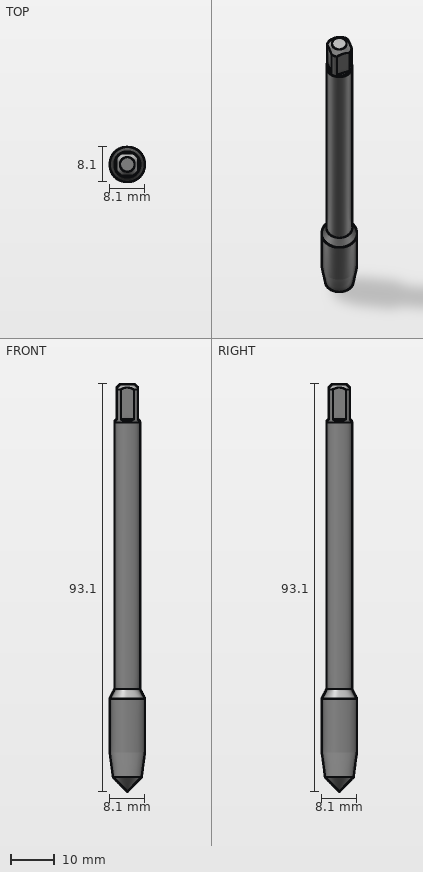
import cadquery as cq

TOTAL_LENGTH = 93.1
POINT_HEIGHT = 3.35
LEAD_TOP = 8.9
HEAD_TOP = 21.1
SHOULDER_BOTTOM = 21.3
SHOULDER_TOP = 23.1
SHANK_BOTTOM = 23.5
SHANK_TOP = 84.4
SQUARE_BOTTOM = 85.1

HEAD_DIAMETER = 8.1
LEAD_SMALL_DIAMETER = 6.6
SHOULDER_SMALL_DIAMETER = 6.2
SHANK_DIAMETER = 6.0
DRIVE_DIAMETER = 5.8
DRIVE_TIP_DIAMETER = 3.35

SQUARE_ACROSS_FLATS = 4.9
DRIVE_CHAMFER = (DRIVE_DIAMETER - DRIVE_TIP_DIAMETER) / 2


def revolve_profile(points):
    """Revolve a closed (radius, height) outline about the Z axis."""
    return cq.Workplane("XZ").polyline(points).close().revolve(360, (0, 0), (0, 1))


def make_cutting_head():
    """Cylindrical head with a tapered lead and a conical point."""
    return revolve_profile([
        (0, 0),
        (LEAD_SMALL_DIAMETER / 2, POINT_HEIGHT),
        (HEAD_DIAMETER / 2, LEAD_TOP),
        (HEAD_DIAMETER / 2, HEAD_TOP),
        (0, HEAD_TOP),
    ])


def square_drive_envelope():
    """Square prism whose base flares outward at 45 degrees, so each flat ends on a sloping run-out."""
    flare_height = SQUARE_BOTTOM - SHANK_TOP
    flare_width = SQUARE_ACROSS_FLATS + 2 * flare_height
    flare = (
        cq.Workplane("XY", origin=(0, 0, SHANK_TOP))
        .rect(flare_width, flare_width)
        .workplane(offset=flare_height)
        .rect(SQUARE_ACROSS_FLATS, SQUARE_ACROSS_FLATS)
        .loft(ruled=True)
    )
    prism = (
        cq.Workplane("XY", origin=(0, 0, SQUARE_BOTTOM))
        .rect(SQUARE_ACROSS_FLATS, SQUARE_ACROSS_FLATS)
        .extrude(TOTAL_LENGTH - SQUARE_BOTTOM)
    )
    return prism.union(flare)


def make_drive():
    """Round end with a bevelled tip and four flats milled into it."""
    turned = revolve_profile([
        (0, SHANK_TOP),
        (DRIVE_DIAMETER / 2, SHANK_TOP),
        (DRIVE_DIAMETER / 2, TOTAL_LENGTH - DRIVE_CHAMFER),
        (DRIVE_TIP_DIAMETER / 2, TOTAL_LENGTH),
        (0, TOTAL_LENGTH),
    ])
    return turned.intersect(square_drive_envelope())


def make_shank():
    """Round shank with a two-step conical shoulder below and the square drive above."""
    turned = revolve_profile([
        (0, HEAD_TOP),
        (HEAD_DIAMETER / 2, HEAD_TOP),
        (HEAD_DIAMETER / 2, SHOULDER_BOTTOM),
        (SHOULDER_SMALL_DIAMETER / 2, SHOULDER_TOP),
        (SHANK_DIAMETER / 2, SHANK_BOTTOM),
        (SHANK_DIAMETER / 2, SHANK_TOP),
        (0, SHANK_TOP),
    ])
    return turned.union(make_drive())


cutting_head = make_cutting_head()
shank = make_shank()

result = cq.Compound.makeCompound([cutting_head.val(), shank.val()])